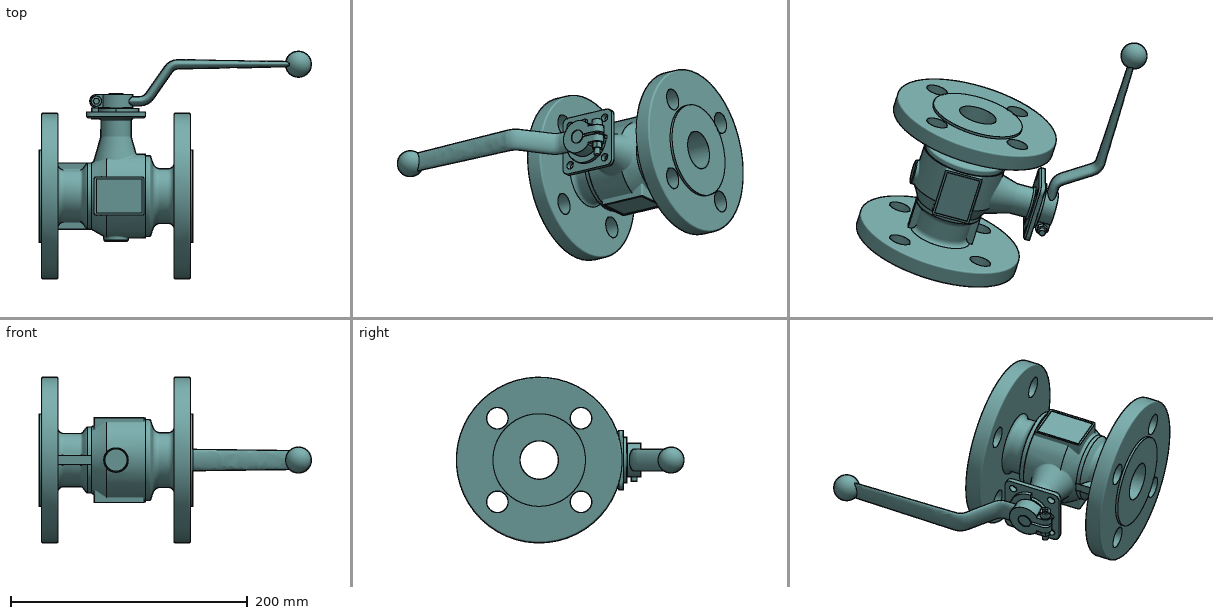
import cadquery as cq
import math


overall_length = 230.0
face_to_face = 130.0
left_face = -face_to_face / 2
right_face = face_to_face / 2
flange_diameter = 140.0
flange_edge_round = 1.4
raised_face_radius = 39.0
raised_face_height = 2.0
flange_thickness = 16.0
left_flange_back = left_face + flange_thickness
right_flange_back = right_face - flange_thickness
bore_radius = 16.0
bolt_circle_radius = 50.0
bolt_hole_diameter = 18.0
bolt_count = 4
first_bolt_angle = 45.0

left_neck_radius = 22.5
right_neck_radius = 23.2
neck_flare_length = 4.5
neck_flare_rise = 3.5
left_neck_end = -30.0
collar_cone_start = -28.0
collar_cone_start_radius = 23.5
collar_cone_end = -25.8
collar_cone_end_radius = 26.5
collar_start = -24.2
collar_end = -20.7
collar_radius = 28.0
barrel_start = -7.8
barrel_end = 24.8
barrel_radius = 35.5
end_ring_radius = 34.3
end_ring_end = 29.5
end_ring_round = 1.4
shoulder_end = 31.3
shoulder_radius = 27.5
right_neck_start = 36.3

rib_thickness = 7.8
rib_height = collar_radius
rib_end = -20.5
pad_start = -18.5
pad_end = 23.7
pad_half_width = 16.0
pad_height = 35.9
pad_corner_radius = 1.5
pad_rim_width = 1.8
pad_recess_depth = 0.5
boss_radius = 10.4
boss_height = 38.2
boss_edge_chamfer = 1.0

tower_blend = 1.2
rib_blend = 1.0
pad_blend = 0.7
boss_blend = 1.0
select_margin = 0.2

tower_radius = 12.9
tower_cone_top = 50.1
tower_cone_bottom = 27.5
tower_cone_base_radius = 19.3
tower_rim_flare = 1.5
tower_waist_blend = 3.7

plate_size = 50.1
plate_bottom = 65.8
plate_top = 71.0
plate_corner_radius = 5.3
plate_edge_chamfer = 1.5
plate_hole_diameter = 6.5
plate_hole_offset = 17.7

stop_top = 74.0
stop_radius = 19.3
stop_notch_radius = 14.7
stop_pin_x = -17.7
stop_pin_length = 5.5
stop_pin_width = 3.5
stop_pin_bottom = 65.0

hub_bottom = 74.5
hub_top = 85.8
hub_radius = 14.3
spindle_radius = 5.8
spindle_top = 86.5
clamp_x = -16.5
clamp_y = (hub_bottom + hub_top) / 2
clamp_radius = (hub_top - hub_bottom) / 2
clamp_half_width = 7.4
clamp_slit = 2.3
screw_head_radius = 4.4
screw_head_top = 12.9
screw_socket_size = 5.5
screw_socket_depth = 2.8
nut_size = 8.7
nut_bottom = -12.5
screw_radius = 2.5
screw_bottom = -18.0

lever_low_y = 80.0
lever_high_y = 111.3
lever_bend_start = 20.0
lever_bend_radius = 10.4
lever_angle = 55.0
lever_thickness = 8.0
lever_width = 18.6
lever_tip_thickness = 4.5
lever_tip_width = 16.0
ball_radius = 11.0
ball_x = left_face + overall_length - ball_radius


def y_cylinder(radius, bottom, top):
    return cq.Workplane("XZ", origin=(0, bottom, 0)).circle(radius).extrude(bottom - top)


def clamp_cylinder(radius, bottom, top):
    return cq.Workplane("XY", origin=(clamp_x, clamp_y, bottom)).circle(radius).extrude(top - bottom)


def box(x_range, y_range, z_range):
    sizes = [high - low for low, high in (x_range, y_range, z_range)]
    corner = cq.Vector(x_range[0], y_range[0], z_range[0])
    return cq.Workplane("XY").box(*sizes, centered=False).translate(corner)


def flange(inner_x, outer_x, raised_x):
    """Round flange from inner_x to outer_x with a raised sealing face out to raised_x."""
    disc = cq.Workplane("YZ", origin=(inner_x, 0, 0)).circle(flange_diameter / 2).extrude(outer_x - inner_x)
    disc = disc.edges().fillet(flange_edge_round)
    face = cq.Workplane("YZ", origin=(inner_x, 0, 0)).circle(raised_face_radius).extrude(raised_x - inner_x)
    return disc.union(face)


def body():
    left_flare_radius = left_neck_radius + neck_flare_rise
    right_flare_radius = right_neck_radius + neck_flare_rise
    flare_arc_radius = (neck_flare_length**2 + neck_flare_rise**2) / (2 * neck_flare_rise)
    profile = (
        cq.Workplane("XY")
        .moveTo(left_flange_back, 0)
        .lineTo(left_flange_back, left_flare_radius)
        .radiusArc((left_flange_back + neck_flare_length, left_neck_radius), -flare_arc_radius)
        .lineTo(left_neck_end, left_neck_radius)
        .tangentArcPoint((collar_cone_start, collar_cone_start_radius), relative=False)
        .lineTo(collar_cone_end, collar_cone_end_radius)
        .tangentArcPoint((collar_start, collar_radius), relative=False)
        .lineTo(collar_end, collar_radius)
        .lineTo(barrel_start, barrel_radius)
        .lineTo(barrel_end, barrel_radius)
        .lineTo(barrel_end, end_ring_radius)
        .lineTo(end_ring_end - end_ring_round, end_ring_radius)
        .tangentArcPoint((end_ring_end, end_ring_radius - end_ring_round), relative=False)
        .lineTo(shoulder_end, shoulder_radius)
        .tangentArcPoint((right_neck_start, right_neck_radius), relative=False)
        .lineTo(right_flange_back - neck_flare_length, right_neck_radius)
        .tangentArcPoint((right_flange_back, right_flare_radius), relative=False)
        .lineTo(right_flange_back, 0)
        .close()
    )
    return profile.revolve(360, (0, 0, 0), (1, 0, 0))


def neck_ribs():
    """Pair of ribs along +Y and -Y, each flaring into the left neck with a rounded foot."""
    half = rib_thickness / 2
    foot = half + rib_blend
    root = math.sqrt(left_neck_radius**2 - foot**2)
    section = (
        cq.Workplane("YZ", origin=(left_flange_back, 0, 0))
        .moveTo(0, -foot)
        .lineTo(root, -foot)
        .radiusArc((root + rib_blend, -half), rib_blend)
        .lineTo(rib_height, -half)
        .lineTo(rib_height, half)
        .lineTo(root + rib_blend, half)
        .radiusArc((root, foot), rib_blend)
        .lineTo(0, foot)
        .close()
    )
    rib = section.extrude(rib_end - left_flange_back)
    return rib.union(rib.mirror("XZ"))


def pads():
    block = box((pad_start, pad_end), (-pad_half_width, pad_half_width), (-pad_height, pad_height))
    return block.edges("|Z").fillet(pad_corner_radius)


def pad_recesses():
    floor = pad_height - pad_recess_depth
    x_range = (pad_start + pad_rim_width, pad_end - pad_rim_width)
    y_range = (pad_rim_width - pad_half_width, pad_half_width - pad_rim_width)
    upper = box(x_range, y_range, (floor, pad_height))
    return upper.union(upper.mirror("XY"))


def bottom_boss():
    return y_cylinder(boss_radius, -boss_height, 0).faces("<Y").chamfer(boss_edge_chamfer)


def stem_tower():
    profile = (
        cq.Workplane("XY")
        .moveTo(0, 0)
        .lineTo(tower_cone_base_radius, 0)
        .lineTo(tower_cone_base_radius, tower_cone_bottom)
        .lineTo(tower_radius, tower_cone_top)
        .lineTo(tower_radius, plate_bottom - tower_rim_flare)
        .lineTo(tower_radius + tower_rim_flare, plate_bottom)
        .lineTo(0, plate_bottom)
        .close()
    )
    tower = profile.revolve(360, (0, 0, 0), (0, 1, 0))
    waist = cq.selectors.NearestToPointSelector((0, tower_cone_top, 0))
    return tower.edges("%CIRCLE").edges(waist).fillet(tower_waist_blend)


def blend_in_box(solid, low, high, radius, enclosed=False):
    """Fillet the edges whose middle, or whole length if enclosed, lies in the box low to high."""
    return solid.edges(cq.selectors.BoxSelector(low, high, enclosed)).fillet(radius)


def tower_blended(solid):
    reach = tower_cone_base_radius
    return blend_in_box(solid, (-reach, rib_height, -reach), (reach, barrel_radius, reach), tower_blend)


def pads_blended(solid):
    for side in (-1, 1):
        low = (pad_start - select_margin, -pad_half_width - select_margin, 0)
        high = (pad_end + select_margin, pad_half_width + select_margin, side * (pad_height - select_margin))
        solid = blend_in_box(solid, low, high, pad_blend, enclosed=True)
    return solid


def boss_blended(solid):
    reach = boss_radius + select_margin
    low = (-reach, -barrel_radius - select_margin, -reach)
    return blend_in_box(solid, low, (reach, 0, reach), boss_blend, enclosed=True)


def casting():
    """Body with its ribs, and with its tower, pads and boss blended where they leave the body."""
    solid = tower_blended(body().union(stem_tower()))
    solid = pads_blended(solid.union(neck_ribs()).union(pads()))
    return boss_blended(solid.union(bottom_boss()))


def mounting_plate():
    half = plate_size / 2
    plate = box((-half, half), (plate_bottom, plate_top), (-half, half))
    plate = plate.edges("|Y").fillet(plate_corner_radius)
    plate = plate.faces("<Y").chamfer(plate_edge_chamfer)
    holes = (
        cq.Workplane("XZ", origin=(0, plate_bottom, 0))
        .rect(2 * plate_hole_offset, 2 * plate_hole_offset, forConstruction=True)
        .vertices()
        .circle(plate_hole_diameter / 2)
        .extrude(plate_bottom - plate_top)
    )
    return plate.cut(holes)


def stop_disc():
    """Disc with a quarter-turn notch that lets the lever swing against the stop pin."""
    disc = y_cylinder(stop_radius, plate_top, stop_top)
    notch = box((-stop_radius, 0), (plate_top, stop_top), (0, stop_radius))
    disc = disc.cut(notch).union(y_cylinder(stop_notch_radius, plate_top, stop_top))
    pin = (
        cq.Workplane("XZ", origin=(stop_pin_x, stop_pin_bottom, 0))
        .slot2D(stop_pin_length, stop_pin_width)
        .extrude(stop_pin_bottom - hub_bottom)
    )
    return disc.union(pin)


def clamp_hub():
    hub = y_cylinder(hub_radius, hub_bottom, hub_top)
    ear = clamp_cylinder(clamp_radius, -clamp_half_width, clamp_half_width)
    ear_root = box((clamp_x, 0), (hub_bottom, hub_top), (-clamp_half_width, clamp_half_width))
    slit = box(
        (clamp_x - clamp_radius, 0),
        (hub_bottom, hub_top),
        (-clamp_slit / 2, clamp_slit / 2),
    )
    pocket = box(
        (-hub_radius, clamp_x + clamp_radius),
        (hub_bottom, hub_top),
        (-hub_radius, hub_radius),
    )
    hub = hub.cut(pocket).union(ear).union(ear_root).cut(slit)
    return hub.union(y_cylinder(spindle_radius, stop_top, spindle_top))


def clamp_screw():
    head = clamp_cylinder(screw_head_radius, clamp_half_width, screw_head_top)
    socket = (
        cq.Workplane("XY", origin=(clamp_x, clamp_y, screw_head_top))
        .polygon(6, screw_socket_size)
        .extrude(-screw_socket_depth)
    )
    shank = clamp_cylinder(screw_radius, screw_bottom, clamp_half_width)
    nut = (
        cq.Workplane("XY", origin=(clamp_x, clamp_y, nut_bottom))
        .polygon(6, nut_size)
        .extrude(-clamp_half_width - nut_bottom)
    )
    return head.cut(socket).union(shank).union(nut)


def lever():
    """Flattened oval bar: cranked upwards by two equal bends, then tapering to the ball."""
    angle = math.radians(lever_angle)
    bend_run = lever_bend_radius * math.sin(angle)
    bend_rise = lever_bend_radius * (1 - math.cos(angle))
    slope_rise = lever_high_y - lever_low_y - 2 * bend_rise
    slope_run = slope_rise / math.tan(angle)
    slope_start = (lever_bend_start + bend_run, lever_low_y + bend_rise)
    slope_end = (slope_start[0] + slope_run, slope_start[1] + slope_rise)
    handle_start = slope_end[0] + bend_run
    path = (
        cq.Workplane("XY")
        .moveTo(spindle_radius, lever_low_y)
        .lineTo(lever_bend_start, lever_low_y)
        .tangentArcPoint(slope_start, relative=False)
        .lineTo(*slope_end)
        .tangentArcPoint((handle_start, lever_high_y), relative=False)
    )
    crank = (
        cq.Workplane("YZ", origin=(spindle_radius, lever_low_y, 0))
        .ellipse(lever_thickness / 2, lever_width / 2)
        .sweep(path)
    )
    handle = (
        cq.Workplane("YZ", origin=(handle_start, lever_high_y, 0))
        .ellipse(lever_thickness / 2, lever_width / 2)
        .workplane(offset=ball_x - handle_start)
        .ellipse(lever_tip_thickness / 2, lever_tip_width / 2)
        .loft()
    )
    ball = cq.Workplane("XY", origin=(ball_x, lever_high_y, 0)).sphere(ball_radius)
    return crank.union(handle).union(ball)


def bolt_holes():
    return (
        cq.Workplane("YZ", origin=(left_face, 0, 0))
        .polarArray(bolt_circle_radius, first_bolt_angle, 360, bolt_count)
        .circle(bolt_hole_diameter / 2)
        .extrude(face_to_face)
    )


def bore():
    return cq.Workplane("YZ", origin=(left_face, 0, 0)).circle(bore_radius).extrude(face_to_face)


result = casting()
for feature in (
    flange(left_flange_back, left_face + raised_face_height, left_face),
    flange(right_flange_back, right_face - raised_face_height, right_face),
    mounting_plate(),
    stop_disc(),
    clamp_hub(),
    clamp_screw(),
    lever(),
):
    result = result.union(feature)
result = result.cut(pad_recesses()).cut(bore()).cut(bolt_holes())